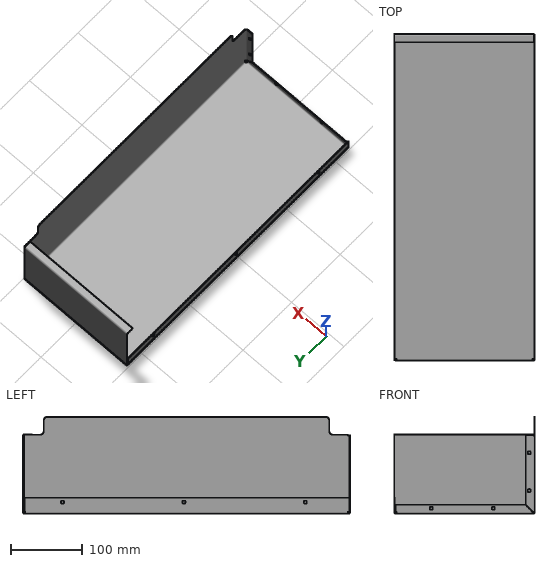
import cadquery as cq

width = 196.8
length = 457.81
total_height = 135.9

thickness = 0.9
inner_radius = 2.0
bend_radius = inner_radius + thickness
panel_setback = 1.2
left_lip_setback = 2.5
bottom_lip_setback = 1.9
miter_slit = 0.1

side_height = 110.9
back_height = side_height + thickness
left_lip_height = 22.8
front_lip_width = 12.6
right_lip_height = side_height - thickness
back_flange_width = 12.0

tab_length = 400.0
tab_radius = 5.0

hole_diameter = 4.5
left_lip_hole_height = 16.4
left_lip_holes_y = (62.5, 232.5, 402.5)
front_lip_hole_offset = 7.9
bottom_lip_holes_x = (51.8, 138.8)
right_lip_holes_z = (32.6, 85.6)

flat_x = (bend_radius, width - bend_radius)
flat_y = (bend_radius, length - bend_radius)


def box(x_range, y_range, z_range):
    """Box between the given limits."""
    ranges = (x_range, y_range, z_range)
    sizes = [high - low for low, high in ranges]
    corner = tuple(low for low, high in ranges)
    return cq.Workplane("XY").box(*sizes, centered=False).translate(corner)


def rod(axis, radius, x_range, y_range, z_range):
    """Cylinder along an axis, running between the limits, with its axis at their first values."""
    ranges = dict(X=x_range, Y=y_range, Z=z_range)
    start, end = ranges[axis]
    direction = cq.Vector(*(1 if name == axis else 0 for name in "XYZ"))
    base = cq.Vector(x_range[0], y_range[0], z_range[0])
    return cq.Workplane(cq.Solid.makeCylinder(radius, end - start, base, direction))


def bend(axis, x_range, y_range, z_range):
    """Quarter bend along an axis; the other two ranges go from the bend axis to the outer face."""
    ranges = (x_range, y_range, z_range)
    outer = rod(axis, bend_radius, *ranges)
    inner = rod(axis, inner_radius, *ranges)
    quadrant = box(*(tuple(sorted(limits)) for limits in ranges))
    return outer.cut(inner).intersect(quadrant)


def make_floor():
    """Flat floor with the bends on its four edges."""
    left = (bend_radius, 0)
    right = (width - bend_radius, width)
    front = (bend_radius, 0)
    back = (length - bend_radius, length)
    bottom = (bend_radius, 0)
    return (
        box(flat_x, flat_y, (0, thickness))
        .union(bend("Y", left, flat_y, bottom))
        .union(bend("Y", right, flat_y, bottom))
        .union(bend("X", flat_x, front, bottom))
        .union(bend("X", flat_x, back, bottom))
    )


def make_left_lip():
    """Low lip along the left edge, with its row of holes."""
    y_range = (panel_setback, length - left_lip_setback)
    lip = box((0, thickness), y_range, (bend_radius, left_lip_height))
    for y in left_lip_holes_y:
        z = left_lip_hole_height
        lip = lip.cut(rod("X", hole_diameter / 2, (0, thickness), (y, y), (z, z)))
    return lip


def make_back_wall():
    """Back wall with a flange folded forward along its top."""
    x_range = (0, width - panel_setback)
    bend_y = length - bend_radius
    bend_z = back_height - bend_radius
    wall = box(x_range, (length - thickness, length), (bend_radius, bend_z))
    top_bend = bend("X", x_range, (bend_y, length), (bend_z, back_height))
    flange = box(x_range, (length - back_flange_width, bend_y), (back_height - thickness, back_height))
    return wall.union(top_bend).union(flange)


def make_right_wall():
    """Right wall with a long rounded tab on top and a bend down its front edge."""
    tab_start = (length - tab_length) / 2
    tab_end = tab_start + tab_length
    back_end = length - panel_setback
    wall = (
        cq.Workplane("YZ", origin=(width - thickness, 0, 0))
        .moveTo(bend_radius, bend_radius)
        .lineTo(back_end, bend_radius)
        .lineTo(back_end, side_height)
        .lineTo(tab_end + tab_radius, side_height)
        .radiusArc((tab_end, side_height + tab_radius), tab_radius)
        .lineTo(tab_end, total_height - tab_radius)
        .radiusArc((tab_end - tab_radius, total_height), -tab_radius)
        .lineTo(tab_start + tab_radius, total_height)
        .radiusArc((tab_start, total_height - tab_radius), -tab_radius)
        .lineTo(tab_start, side_height + tab_radius)
        .radiusArc((tab_start - tab_radius, side_height), tab_radius)
        .lineTo(bend_radius, side_height)
        .close()
        .extrude(thickness)
    )
    front_bend = bend("Z", (width - bend_radius, width), (bend_radius, 0), (bend_radius, right_lip_height))
    return wall.union(front_bend)


def front_panel(points):
    """Flat panel in the front plane from its X-Z outline."""
    return cq.Workplane("XZ").polyline(points).close().extrude(-thickness)


def drill_front(panel, x, z):
    """Cut one round hole through a front panel."""
    return panel.cut(rod("Y", hole_diameter / 2, (x, x), (0, thickness), (z, z)))


def make_bottom_lip():
    """Lip along the front of the floor, mitered at the right end."""
    lip = front_panel([
        (bottom_lip_setback, bend_radius),
        (width - bend_radius - miter_slit, bend_radius),
        (width - front_lip_width - miter_slit, front_lip_width),
        (bottom_lip_setback, front_lip_width),
    ])
    for x in bottom_lip_holes_x:
        lip = drill_front(lip, x, front_lip_hole_offset)
    return lip


def make_right_lip():
    """Lip down the front of the right wall, mitered at the lower end."""
    lip = front_panel([
        (width - bend_radius, bend_radius),
        (width - bend_radius, right_lip_height),
        (width - front_lip_width, right_lip_height),
        (width - front_lip_width, front_lip_width),
    ])
    for z in right_lip_holes_z:
        lip = drill_front(lip, width - front_lip_hole_offset, z)
    return lip


result = (
    make_floor()
    .union(make_left_lip())
    .union(make_back_wall())
    .union(make_right_wall())
    .union(make_bottom_lip())
    .union(make_right_lip())
)